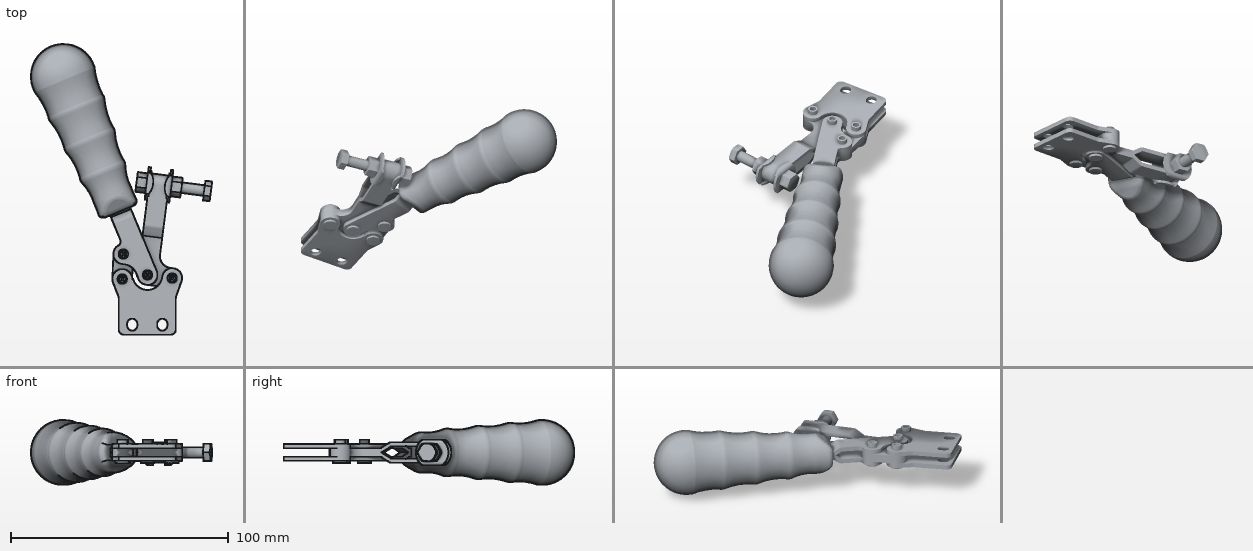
import math

import cadquery as cq


INNER_HEIGHT = 1.9
PLATE_THICKNESS = 2.0
OUTER_HEIGHT = INNER_HEIGHT + PLATE_THICKNESS
BOSS_RADIUS = 4.6

BASE_HALF_WIDTH = 13.2
BASE_SHOULDER = 17.4
BASE_CORNER_RADIUS = 2.5
SHOULDER_RADIUS = 3.0
SLOT_SPACING = 13.8
SLOT_CENTER_Y = 4.65
SLOT_WIDTH = 4.6
SLOT_LENGTH = 5.4

PIVOT = (0.1, 27.5)
BASE_LEFT = (-11.5, 25.6)
BASE_RIGHT = (11.45, 26.05)
LEVER_LEFT = (-11.0, 37.1)

RIVET_RADIUS = 2.2
RIVET_TOP = 5.95
RIVET_HEAD_RADIUS = 3.1
RIVET_HEAD_THICKNESS = 1.0
RIVET_BORE_RADIUS = 1.45
RIVET_BORE_DEPTH = 1.5
RIVET_BORE_TIP = 0.9

ARM_LENGTH = 41.77
ARM_TILT = math.degrees(math.atan2(PIVOT[1] - BASE_RIGHT[1], BASE_RIGHT[0] - PIVOT[0]))
ARM_THICKNESS = 1.9
ARM_BEND_OUTER = 4.8
ARM_BEND_INNER = ARM_BEND_OUTER - ARM_THICKNESS
ARM_JOG_START = 24.1
ARM_JOG_END = 19.5
ARM_JOG_RADIUS = 2.2
ARM_ELBOW_RADIUS = 5.3

SPINDLE_RADIUS = 2.5
HEX_ACROSS_FLATS = 8.0
NUT_THICKNESS = 4.7
SPINDLE_HEAD_START = 20.9
SPINDLE_HEAD_THICKNESS = 3.2
HEX_CHAMFER_LENGTH = 0.22
HEX_CHAMFER_DEPTH = 0.45
WASHER_RADIUS = 7.55
WASHER_THICKNESS = 1.15
WASHER_BEND_RADIUS = 1.65
WASHER_FLANGE_REACH = 1.4

BALL_CENTER = (-38.55, 118.68)
BALL_RADIUS = 15.0
HANDLE_TILT = 22.5
HANDLE_LENGTH = 67.2
BALL_END = 1.6
CREST_START = 15.7
CREST_PITCH = 15.7
CREST_COUNT = 3
CREST_RADIUS = 13.7
CREST_STEP = 1.33
CREST_HALF_LENGTH = 1.3
CREST_DROP = 0.2
VALLEY_START = 10.0
VALLEY_RADIUS = 13.4
VALLEY_STEP = 1.4
COLLAR_START = 59.0
COLLAR_RADIUS = 9.3
NOSE_START = (61.0, 9.3)
NOSE_EDGE = (65.2, 6.2)
NOSE_END_HEIGHT = 3.6
NOSE_END_RADIUS = 9.45
NOSE_RADIUS = 2.3

LEVER_LEFT_OFFSET = -4.6
LEVER_BEND = 71.05
LEVER_BEND_ANGLE = 33.0
LEVER_BEND_RADIUS = 2.5
LEVER_TANG_START = 60.0
LEVER_NECK_RADIUS = 2.0


def along(point, angle, forward, sideways=0.0):
    """Point reached by going forward at an angle from +X, then sideways to its left."""
    a = math.radians(angle)
    return (
        point[0] + forward * math.cos(a) - sideways * math.sin(a),
        point[1] + forward * math.sin(a) + sideways * math.cos(a),
    )


def tangent_point(point, center, radius, side):
    """Touching point on a circle of a line from an outside point; side is +1 or -1."""
    dx = point[0] - center[0]
    dy = point[1] - center[1]
    angle = math.atan2(dy, dx) + side * math.acos(radius / math.hypot(dx, dy))
    return (center[0] + radius * math.cos(angle), center[1] + radius * math.sin(angle))


def disc(center, radius, bottom, top):
    return cq.Workplane().workplane(offset=bottom).center(*center).circle(radius).extrude(top - bottom)


def slab(points, bottom, top):
    return cq.Workplane().workplane(offset=bottom).polyline(points).close().extrude(top - bottom)


def rounded_bar(start, end, half_height):
    """Flat bar with a full round at each rivet."""
    angle = math.degrees(math.atan2(end[1] - start[1], end[0] - start[0]))
    length = math.dist(start, end)
    corners = [
        along(start, angle, 0, BOSS_RADIUS),
        along(start, angle, 0, -BOSS_RADIUS),
        along(start, angle, length, -BOSS_RADIUS),
        along(start, angle, length, BOSS_RADIUS),
    ]
    bar = slab(corners, -half_height, half_height)
    for center in (start, end):
        bar = bar.union(disc(center, BOSS_RADIUS, -half_height, half_height))
    return bar


def both_layers(plate):
    """A plate above the middle plane and its mirror image below."""
    return plate.union(plate.mirror("XY"))


def upright_edge(body, point, height):
    """The edge along Z that stands nearest to a point in plan."""
    return body.edges("|Z").edges(cq.NearestToPointSelector((point[0], point[1], height)))


def make_base():
    right_corner = (BASE_HALF_WIDTH, BASE_SHOULDER)
    left_corner = (-BASE_HALF_WIDTH, BASE_SHOULDER)
    outline = [
        (-BASE_HALF_WIDTH, 0),
        (BASE_HALF_WIDTH, 0),
        right_corner,
        tangent_point(right_corner, BASE_RIGHT, BOSS_RADIUS, 1),
        BASE_RIGHT,
        BASE_LEFT,
        tangent_point(left_corner, BASE_LEFT, BOSS_RADIUS, -1),
        left_corner,
    ]
    plate = slab(outline, INNER_HEIGHT, OUTER_HEIGHT)
    for corner in (right_corner, left_corner):
        plate = upright_edge(plate, corner, OUTER_HEIGHT).fillet(SHOULDER_RADIUS)
    for x in (-BASE_HALF_WIDTH, BASE_HALF_WIDTH):
        plate = upright_edge(plate, (x, 0), OUTER_HEIGHT).fillet(BASE_CORNER_RADIUS)
    for center in (BASE_LEFT, BASE_RIGHT):
        plate = plate.union(disc(center, BOSS_RADIUS, INNER_HEIGHT, OUTER_HEIGHT))
    notch_radius = math.dist(PIVOT, BASE_RIGHT) - BOSS_RADIUS
    plate = plate.cut(disc(PIVOT, notch_radius, INNER_HEIGHT, OUTER_HEIGHT))
    slots = (
        cq.Workplane()
        .workplane(offset=INNER_HEIGHT)
        .center(0, SLOT_CENTER_Y)
        .rarray(SLOT_SPACING, 1, 2, 1)
        .slot2D(SLOT_LENGTH, SLOT_WIDTH, 90)
        .extrude(PLATE_THICKNESS)
    )
    return both_layers(plate.cut(slots))


HANDLE_DIRECTION = HANDLE_TILT - 90


def handle_point(distance, offset):
    """Point in plan, by distance from the ball centre and offset to the right of the axis."""
    return along(BALL_CENTER, HANDLE_DIRECTION, distance, offset)


def handle_section_plane():
    """Plane through the handle axis: local X along the axis, local Y up."""
    a = math.radians(HANDLE_DIRECTION)
    return cq.Plane(
        origin=(*BALL_CENTER, 0),
        xDir=(math.cos(a), math.sin(a), 0),
        normal=(math.sin(a), -math.cos(a), 0),
    )


def make_lever_section(lever_end):
    """Side profile of the upper lever plate, bent down to meet its mirror image in the handle."""
    slope = math.radians(LEVER_BEND_ANGLE)
    run = INNER_HEIGHT / math.tan(slope)
    shift = PLATE_THICKNESS * math.tan(slope / 2)
    outline = [
        (lever_end, INNER_HEIGHT),
        (lever_end, OUTER_HEIGHT),
        (LEVER_BEND, OUTER_HEIGHT),
        (LEVER_BEND - run, PLATE_THICKNESS),
        (LEVER_TANG_START, PLATE_THICKNESS),
        (LEVER_TANG_START, 0),
        (LEVER_BEND + shift - run, 0),
        (LEVER_BEND + shift, INNER_HEIGHT),
    ]
    ample_width = 4 * BOSS_RADIUS
    section = cq.Workplane(handle_section_plane()).polyline(outline).close().extrude(ample_width, both=True)
    bend = (*handle_point(LEVER_BEND, 0), OUTER_HEIGHT)
    return section.edges(cq.NearestToPointSelector(bend)).fillet(LEVER_BEND_RADIUS)


def make_lever():
    a = math.radians(HANDLE_DIRECTION)
    from_ball = (PIVOT[0] - BALL_CENTER[0], PIVOT[1] - BALL_CENTER[1])
    pivot_distance = from_ball[0] * math.cos(a) + from_ball[1] * math.sin(a)
    pivot_offset = from_ball[1] * math.cos(a) - from_ball[0] * math.sin(a)
    right_offset = pivot_offset + BOSS_RADIUS
    neck_distance = math.dist(BALL_CENTER, LEVER_LEFT)
    outline = [
        handle_point(LEVER_TANG_START, LEVER_LEFT_OFFSET),
        handle_point(LEVER_TANG_START, right_offset),
        handle_point(pivot_distance, right_offset),
        PIVOT,
        BASE_LEFT,
        LEVER_LEFT,
        handle_point(neck_distance, LEVER_LEFT_OFFSET),
    ]
    plan = slab(outline, 0, OUTER_HEIGHT)
    for center in (PIVOT, LEVER_LEFT):
        plan = plan.union(disc(center, BOSS_RADIUS, 0, OUTER_HEIGHT))
    relief_radius = math.dist(LEVER_LEFT, BASE_LEFT) - BOSS_RADIUS
    plan = plan.cut(disc(BASE_LEFT, relief_radius, 0, OUTER_HEIGHT))
    neck = handle_point(neck_distance - BOSS_RADIUS, LEVER_LEFT_OFFSET)
    plan = upright_edge(plan, neck, OUTER_HEIGHT / 2).fillet(LEVER_NECK_RADIUS)
    section = make_lever_section(pivot_distance + 2 * BOSS_RADIUS)
    return both_layers(plan.intersect(section))


def make_handle_body():
    """Ball and grip turned about the handle axis."""
    ball_edge = math.sqrt(BALL_RADIUS**2 - BALL_END**2)
    diagonal = BALL_RADIUS / math.sqrt(2)
    profile = (
        cq.Workplane(handle_section_plane())
        .moveTo(-BALL_RADIUS, 0)
        .threePointArc((-diagonal, diagonal), (BALL_END, ball_edge))
    )
    for i in range(CREST_COUNT):
        crest = CREST_START + i * CREST_PITCH
        top = CREST_RADIUS - i * CREST_STEP
        valley = (VALLEY_START + i * CREST_PITCH, VALLEY_RADIUS - i * VALLEY_STEP)
        flank = top - CREST_DROP
        profile = profile.threePointArc(valley, (crest - CREST_HALF_LENGTH, flank))
        profile = profile.threePointArc((crest, top), (crest + CREST_HALF_LENGTH, flank))
    last_valley = (
        VALLEY_START + CREST_COUNT * CREST_PITCH,
        VALLEY_RADIUS - CREST_COUNT * VALLEY_STEP,
    )
    return (
        profile.threePointArc(last_valley, (COLLAR_START, COLLAR_RADIUS))
        .lineTo(HANDLE_LENGTH, NOSE_END_RADIUS)
        .lineTo(HANDLE_LENGTH, 0)
        .close()
        .revolve(360, (0, 0, 0), (1, 0, 0))
    )


def make_handle():
    """Handle with sloping flats above and below its nose."""
    clear_height = 2 * BALL_RADIUS
    flat_slope = (NOSE_EDGE[0] - NOSE_START[0]) / (NOSE_START[1] - NOSE_EDGE[1])
    flat_top = NOSE_EDGE[0] - (clear_height - NOSE_EDGE[1]) * flat_slope
    waste = (
        cq.Workplane(handle_section_plane())
        .moveTo(flat_top, clear_height)
        .lineTo(*NOSE_EDGE)
        .tangentArcPoint((HANDLE_LENGTH, NOSE_END_HEIGHT), relative=False)
        .lineTo(HANDLE_LENGTH + BALL_RADIUS, NOSE_END_HEIGHT)
        .lineTo(HANDLE_LENGTH + BALL_RADIUS, clear_height)
        .close()
        .extrude(BALL_RADIUS, both=True)
    )
    handle = make_handle_body().cut(both_layers(waste))
    return handle.newObject(nose_rim(handle)).fillet(NOSE_RADIUS)


def nose_rim(handle):
    """Edges where the turned grip meets the flats and the end face of the nose."""
    plane = handle_section_plane()
    collar_middle = (COLLAR_START + NOSE_START[0]) / 2
    rim = []
    for edge in handle.edges().vals():
        position = plane.toLocalCoords(edge.Center()).x
        if position > collar_middle and edge.geomType() != "LINE":
            rim.append(edge)
    return rim


ARM_DIRECTION = 90 - ARM_TILT
SPINDLE_CENTER = along(PIVOT, ARM_DIRECTION, ARM_LENGTH)


def spindle_plane(x_forward):
    """Plane at the spindle axis: local X along the arm or along the spindle, local Y up."""
    a = math.radians(ARM_DIRECTION if x_forward else -ARM_TILT)
    return cq.Plane(
        origin=(*SPINDLE_CENTER, 0),
        xDir=(math.cos(a), math.sin(a), 0),
        normal=(math.sin(a), -math.cos(a), 0),
    )


def make_arm_bar():
    """Strip that opens out from the flat arm and wraps round the spindle."""
    slope = math.atan2(ARM_BEND_OUTER - INNER_HEIGHT, ARM_JOG_START - ARM_JOG_END)
    shift = ARM_THICKNESS * math.tan(slope / 2)
    outer = (
        cq.Workplane(spindle_plane(True))
        .moveTo(0, ARM_BEND_OUTER)
        .lineTo(-ARM_JOG_END, ARM_BEND_OUTER)
        .lineTo(-ARM_JOG_START, INNER_HEIGHT)
        .lineTo(-ARM_JOG_START, -INNER_HEIGHT)
        .lineTo(-ARM_JOG_END, -ARM_BEND_OUTER)
        .lineTo(0, -ARM_BEND_OUTER)
        .threePointArc((ARM_BEND_OUTER, 0), (0, ARM_BEND_OUTER))
        .close()
        .extrude(BOSS_RADIUS, both=True)
    )
    for height in (-ARM_BEND_OUTER, ARM_BEND_OUTER):
        jog = (*along(SPINDLE_CENTER, ARM_DIRECTION, -ARM_JOG_END), height)
        outer = outer.edges(cq.NearestToPointSelector(jog)).fillet(ARM_JOG_RADIUS)
    opening = (
        cq.Workplane(spindle_plane(True))
        .moveTo(0, ARM_BEND_INNER)
        .lineTo(shift - ARM_JOG_END, ARM_BEND_INNER)
        .lineTo(shift - ARM_JOG_START, 0)
        .lineTo(shift - ARM_JOG_END, -ARM_BEND_INNER)
        .lineTo(0, -ARM_BEND_INNER)
        .threePointArc((ARM_BEND_INNER, 0), (0, ARM_BEND_INNER))
        .close()
        .extrude(BOSS_RADIUS, both=True)
    )
    return outer.cut(opening)


def make_arm():
    flat_length = ARM_LENGTH - ARM_JOG_START
    corners = [
        along(PIVOT, ARM_DIRECTION, 0, BOSS_RADIUS),
        along(PIVOT, ARM_DIRECTION, 0, -BOSS_RADIUS),
        along(PIVOT, ARM_DIRECTION, flat_length, -BOSS_RADIUS),
        along(PIVOT, ARM_DIRECTION, flat_length, BOSS_RADIUS),
    ]
    flat = slab(corners, -INNER_HEIGHT, INNER_HEIGHT)
    flat = flat.union(rounded_bar(PIVOT, BASE_RIGHT, INNER_HEIGHT))
    elbow = along(PIVOT, ARM_DIRECTION, BOSS_RADIUS, -BOSS_RADIUS)
    flat = upright_edge(flat, elbow, 0).fillet(ARM_ELBOW_RADIUS)
    return flat.union(make_arm_bar())


def spindle_cross_plane(position):
    """Plane square to the spindle: local Y up, normal along the spindle."""
    a = math.radians(-ARM_TILT)
    return cq.Plane(
        origin=(*along(SPINDLE_CENTER, -ARM_TILT, position), 0),
        xDir=(-math.sin(a), math.cos(a), 0),
        normal=(math.cos(a), math.sin(a), 0),
    )


def make_hexagon(position, thickness, chamfered_face):
    """Hexagon on the spindle with two flats level and one end's corners turned off."""
    corner_diameter = HEX_ACROSS_FLATS / math.cos(math.pi / 6)
    plane = spindle_cross_plane(position)
    prism = cq.Workplane(plane).polygon(6, corner_diameter).extrude(thickness)
    turned = cq.Workplane(plane).circle(corner_diameter / 2).extrude(thickness)
    return prism.intersect(turned.faces(chamfered_face).chamfer(HEX_CHAMFER_LENGTH, HEX_CHAMFER_DEPTH))


def make_washer():
    """Round washer whose upper and lower segments are folded over the arm."""
    outer_face = BOSS_RADIUS + WASHER_THICKNESS
    flange_top = ARM_BEND_OUTER + WASHER_THICKNESS
    fold_line = outer_face - WASHER_BEND_RADIUS
    flange_tip = fold_line - WASHER_FLANGE_REACH
    channel = (
        cq.Workplane(spindle_plane(False))
        .moveTo(flange_tip, flange_top)
        .lineTo(fold_line, flange_top)
        .radiusArc((outer_face, flange_top - WASHER_BEND_RADIUS), WASHER_BEND_RADIUS)
        .lineTo(outer_face, WASHER_BEND_RADIUS - flange_top)
        .radiusArc((fold_line, -flange_top), WASHER_BEND_RADIUS)
        .lineTo(flange_tip, -flange_top)
        .lineTo(flange_tip, -ARM_BEND_OUTER)
        .lineTo(BOSS_RADIUS, -ARM_BEND_OUTER)
        .lineTo(BOSS_RADIUS, ARM_BEND_OUTER)
        .lineTo(flange_tip, ARM_BEND_OUTER)
        .close()
        .extrude(WASHER_RADIUS, both=True)
    )
    blank = cq.Workplane(spindle_cross_plane(0)).circle(WASHER_RADIUS).extrude(outer_face)
    half_chord = math.sqrt(WASHER_RADIUS**2 - flange_top**2)
    plan = (
        cq.Workplane()
        .moveTo(fold_line, half_chord)
        .threePointArc((flange_tip, 0), (fold_line, -half_chord))
        .lineTo(fold_line, -WASHER_RADIUS)
        .lineTo(outer_face, -WASHER_RADIUS)
        .lineTo(outer_face, WASHER_RADIUS)
        .lineTo(fold_line, WASHER_RADIUS)
        .close()
        .extrude(flange_top, both=True)
        .rotate((0, 0, 0), (0, 0, 1), -ARM_TILT)
        .translate((*SPINDLE_CENTER, 0))
    )
    return channel.intersect(blank).intersect(plan)


def make_spindle():
    nut_start = BOSS_RADIUS + WASHER_THICKNESS
    nut_end = nut_start + NUT_THICKNESS
    right_washer = make_washer()
    left_washer = right_washer.rotate((*SPINDLE_CENTER, 0), (*SPINDLE_CENTER, 1), 180)
    shaft = (
        cq.Workplane(spindle_cross_plane(-nut_end))
        .circle(SPINDLE_RADIUS)
        .extrude(nut_end + SPINDLE_HEAD_START)
    )
    return (
        shaft.union(right_washer)
        .union(left_washer)
        .union(make_hexagon(nut_start, NUT_THICKNESS, ">X"))
        .union(make_hexagon(-nut_end, NUT_THICKNESS, "<X"))
        .union(make_hexagon(SPINDLE_HEAD_START, SPINDLE_HEAD_THICKNESS, ">X"))
    )


def make_rivet(center):
    """Semi-tubular rivet: flat head below, hollow end with a conical floor above."""
    bore_bottom = RIVET_TOP - RIVET_BORE_DEPTH
    half_profile = [
        (0, -OUTER_HEIGHT - RIVET_HEAD_THICKNESS),
        (RIVET_HEAD_RADIUS, -OUTER_HEIGHT - RIVET_HEAD_THICKNESS),
        (RIVET_HEAD_RADIUS, -OUTER_HEIGHT),
        (RIVET_RADIUS, -OUTER_HEIGHT),
        (RIVET_RADIUS, RIVET_TOP),
        (RIVET_BORE_RADIUS, RIVET_TOP),
        (RIVET_BORE_RADIUS, bore_bottom),
        (0, bore_bottom - RIVET_BORE_TIP),
    ]
    rivet = cq.Workplane("XZ").polyline(half_profile).close().revolve(360, (0, 0, 0), (0, 1, 0))
    return rivet.translate((*center, 0))


result = make_base().union(make_arm()).union(make_lever()).union(make_handle())
result = result.union(rounded_bar(LEVER_LEFT, BASE_LEFT, INNER_HEIGHT))
result = result.union(make_spindle())
for rivet_center in (PIVOT, BASE_LEFT, BASE_RIGHT, LEVER_LEFT):
    result = result.union(make_rivet(rivet_center))